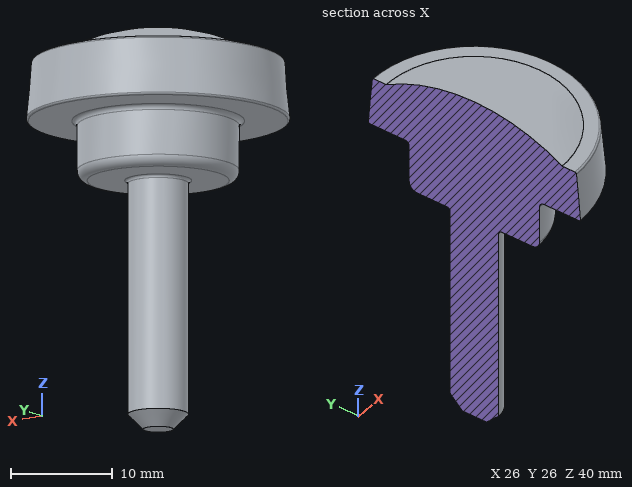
import cadquery as cq
import math

total_height = 40.0
shank_length = 25.0
shank_radius = 6.0 / 2
tip_chamfer = 1.5

hub_radius = 16.0 / 2
hub_height = 6.0

cap_height = 6.0
cap_outer_radius = 26.0 / 2
cap_taper_angle = math.radians(5)
cap_edge_fillet = 0.2

dome_base_radius = 10.75

hub_bottom_fillet = 1.0
hub_cap_fillet = 0.5
shank_hub_fillet = 0.3

hub_bottom_z = shank_length
cap_bottom_z = hub_bottom_z + hub_height
cap_top_z = cap_bottom_z + cap_height

cap_base_half_angle = (math.pi / 2 - cap_taper_angle) / 2
cap_base_radius = cap_outer_radius + cap_edge_fillet * (1 / math.tan(cap_base_half_angle) - 1)
cap_top_radius = cap_base_radius - cap_height * math.tan(cap_taper_angle)


def knob_body():
    """Revolve the half profile: shank, hub, tapered cap and shallow spherical dome."""
    dome_height = total_height - cap_top_z
    sphere_radius = (dome_base_radius**2 + dome_height**2) / (2 * dome_height)
    arc_mid_radius = dome_base_radius / 2
    arc_mid_z = total_height - sphere_radius + math.sqrt(sphere_radius**2 - arc_mid_radius**2)
    profile = (
        cq.Workplane("XZ")
        .moveTo(0, 0)
        .lineTo(shank_radius - tip_chamfer, 0)
        .lineTo(shank_radius, tip_chamfer)
        .lineTo(shank_radius, hub_bottom_z)
        .lineTo(hub_radius, hub_bottom_z)
        .lineTo(hub_radius, cap_bottom_z)
        .lineTo(cap_base_radius, cap_bottom_z)
        .lineTo(cap_top_radius, cap_top_z)
        .lineTo(dome_base_radius, cap_top_z)
        .threePointArc((arc_mid_radius, arc_mid_z), (0, total_height))
        .close()
    )
    return profile.revolve(360, (0, 0, 0), (0, 1, 0))


def fillet_circle(body, radius, z, fillet_radius):
    """Round the circular edge of the given radius at height z."""
    circle = cq.Edge.makeCircle(radius, cq.Vector(0, 0, z))
    length = circle.Length()
    tolerance = 1e-4
    matching = [
        edge
        for edge in body.edges("%CIRCLE").vals()
        if abs(edge.Length() - length) < tolerance and abs(edge.Center().z - z) < tolerance
    ]
    return body.newObject(matching).fillet(fillet_radius)


result = knob_body()
for edge_radius, edge_z, fillet_radius in (
    (shank_radius, hub_bottom_z, shank_hub_fillet),
    (hub_radius, hub_bottom_z, hub_bottom_fillet),
    (hub_radius, cap_bottom_z, hub_cap_fillet),
    (cap_base_radius, cap_bottom_z, cap_edge_fillet),
    (cap_top_radius, cap_top_z, cap_edge_fillet),
):
    result = fillet_circle(result, edge_radius, edge_z, fillet_radius)